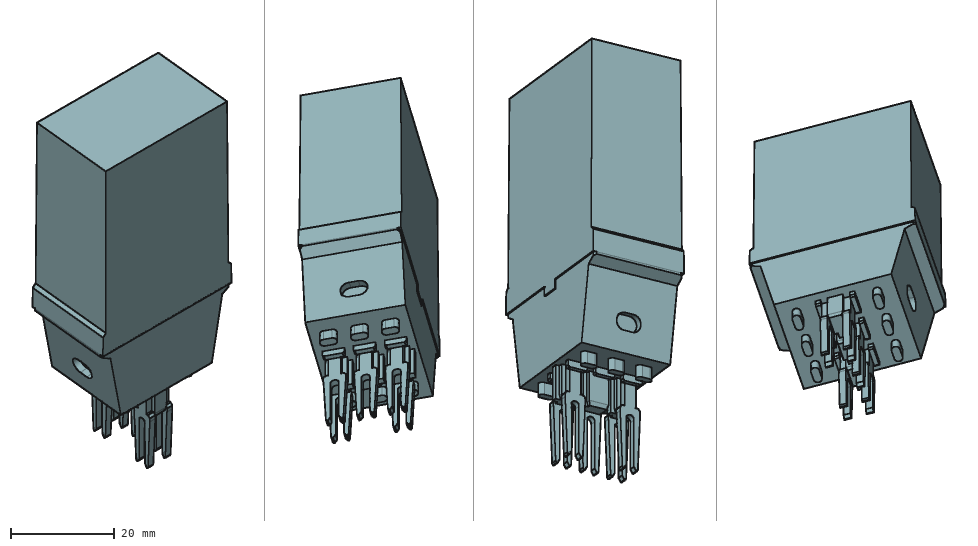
import cadquery as cq


overall_height = 83.2

cover_top_z = 63.5
rim_z = 17.55
cover_top_x = 19.9
rim_x = 20.4
cover_top_y = 31.6
cover_rim_y = 31.95

collar_side_z = 22.3
collar_top_z = 23.05
collar_side_y = 33.4
rim_y = 33.5

tab_y = 3.9
tab_bottom_z = 15.6

base_x = 19.9
lip_bottom_z = 17.05
lip_corner_chamfer = 0.5
wedge_top_z = 15.7
wedge_top_y = 29.1
wedge_bottom_y = 23.7

recess_length = 5.4
recess_height = 3.6
recess_z = 6.2
recess_depth = 1.7

column_pitch = 6.15

block_x = 4.3
block_y = 3.1
block_depth = 6.2
end_draft = 0.25
insulator_depth = 7.2
core_y = 1.25
core_overhang = 0.8

fork_thickness = 1.4
fork_neck_half = 1.25
fork_half = 2.25
fork_depth = overall_height - cover_top_z
shoulder_chamfer = 0.5
shoulder_end_depth = 7.5
tip_half = 1.75
tip_outer_bevel_x = 0.21
tip_outer_bevel_z = 0.4
tip_inner_bevel_x = 0.5
tip_inner_bevel_z = 0.8
slot_width = 1.7
slot_top_depth = 8.0

foot_x = 4.3
foot_y = 1.0
foot_depth = 1.5
foot_chamfer = 0.3
post_length = 3.4
post_width = 1.7
post_depth = 2.6
post_y = 8.15

overlap = 0.4


def frustum(bottom_size, bottom_z, top_size, top_z):
    """Rectangular loft between two centred (x, y) sizes."""
    return (
        cq.Workplane("XY", origin=(0, 0, bottom_z))
        .rect(*bottom_size)
        .workplane(offset=top_z - bottom_z)
        .rect(*top_size)
        .loft(ruled=True)
    )


def block(x_min, x_max, y_min, y_max, z_min, z_max):
    """Axis-aligned box from its limits."""
    size = (x_max - x_min, y_max - y_min, z_max - z_min)
    return cq.Workplane("XY").box(*size, centered=False).translate((x_min, y_min, z_min))


def make_cover():
    cover = frustum((rim_x, cover_rim_y), rim_z, (cover_top_x, cover_top_y), cover_top_z)
    collar_profile = [
        (-rim_y / 2, rim_z),
        (rim_y / 2, rim_z),
        (collar_side_y / 2, collar_side_z),
        (cover_rim_y / 2, collar_top_z),
        (-cover_rim_y / 2, collar_top_z),
        (-collar_side_y / 2, collar_side_z),
    ]
    collar = cq.Workplane("YZ").polyline(collar_profile).close().extrude(rim_x / 2, both=True)
    taper_envelope = frustum((rim_x, rim_y), rim_z, (cover_top_x, rim_y), cover_top_z)
    return cover.union(collar.intersect(taper_envelope))


def make_tab():
    x_slope = (rim_x - cover_top_x) / 2 / (cover_top_z - rim_z)
    outer_bottom_x = rim_x / 2 + x_slope * (rim_z - tab_bottom_z)
    profile = [(0, rim_z), (-rim_x / 2, rim_z), (-outer_bottom_x, tab_bottom_z), (0, tab_bottom_z)]
    return cq.Workplane("XZ").polyline(profile).close().extrude(tab_y / 2, both=True)


def make_base():
    profile = [
        (-wedge_bottom_y / 2, 0),
        (wedge_bottom_y / 2, 0),
        (wedge_top_y / 2, wedge_top_z),
        (rim_y / 2, lip_bottom_z),
        (rim_y / 2, rim_z),
        (-rim_y / 2, rim_z),
        (-rim_y / 2, lip_bottom_z),
        (-wedge_top_y / 2, wedge_top_z),
    ]
    base = cq.Workplane("YZ").polyline(profile).close().extrude(base_x / 2, both=True)
    corner_envelope = (
        cq.Workplane("XY")
        .rect(base_x, rim_y)
        .extrude(rim_z)
        .edges("|Z")
        .chamfer(lip_corner_chamfer)
    )
    return base.intersect(corner_envelope)


def make_recess_cutters():
    y_slope = (wedge_top_y - wedge_bottom_y) / 2 / wedge_top_z
    face_y = wedge_bottom_y / 2 + y_slope * recess_z
    cutters = cq.Workplane("XY")
    for side in (-1, 1):
        face = cq.Plane(
            origin=(0, side * face_y, recess_z),
            xDir=(1, 0, 0),
            normal=(0, side, -y_slope),
        )
        cutter = (
            cq.Workplane(face)
            .workplane(offset=-recess_depth)
            .slot2D(recess_length, recess_height)
            .extrude(2 * recess_depth)
        )
        cutters = cutters.add(cutter)
    return cutters.combine()


def make_insulator():
    body = block(-block_x / 2, block_x / 2, -block_y / 2, block_y / 2, -block_depth, overlap)
    end_size = (block_x - 2 * end_draft, block_y - 2 * end_draft)
    end = frustum(end_size, -insulator_depth, (block_x, block_y), -block_depth)
    core = block(-block_x / 2 - core_overhang, 0, -core_y / 2, core_y / 2, -insulator_depth, overlap)
    return body.union(end).union(core)


def make_fork():
    """Two-pronged terminal, centred in X, with its -Y face at Y = 0."""
    right_side = [
        (fork_neck_half, overlap),
        (fork_neck_half, -block_depth),
        (fork_half - shoulder_chamfer, -block_depth),
        (fork_half, -block_depth - shoulder_chamfer),
        (fork_half, -shoulder_end_depth),
        (tip_half, -fork_depth + tip_outer_bevel_z),
        (tip_half - tip_outer_bevel_x, -fork_depth),
        (slot_width / 2 + tip_inner_bevel_x, -fork_depth),
        (slot_width / 2, -fork_depth + tip_inner_bevel_z),
        (slot_width / 2, -slot_top_depth - slot_width / 2),
    ]
    left_side = [(-x, z) for x, z in reversed(right_side)]
    return (
        cq.Workplane("XZ")
        .polyline(right_side)
        .threePointArc((0, -slot_top_depth), left_side[0])
        .polyline(left_side, includeCurrent=False)
        .close()
        .extrude(-fork_thickness)
    )


def make_foot():
    inner_y = block_y / 2 + fork_thickness
    foot = block(-foot_x / 2, foot_x / 2, inner_y, inner_y + foot_y, -foot_depth, overlap)
    return foot.faces("<Z").edges("|Y").chamfer(foot_chamfer)


def make_post():
    return (
        cq.Workplane("XY", origin=(0, post_y, -post_depth))
        .slot2D(post_length, post_width)
        .extrude(post_depth + overlap)
    )


result = make_cover().union(make_tab()).union(make_base()).cut(make_recess_cutters())

fork = make_fork()
front_fork_y = -block_y / 2 - fork_thickness
back_fork_y = block_y / 2
for column in (-1, 0, 1):
    x = column * column_pitch
    result = result.union(make_insulator().translate((x, 0, 0)))
    result = result.union(fork.translate((x, back_fork_y, 0)))
    if column != 0:
        result = result.union(fork.translate((x, front_fork_y, 0)))
    for fitting in (make_foot(), make_post()):
        result = result.union(fitting.translate((x, 0, 0)))
        result = result.union(fitting.mirror("XZ").translate((x, 0, 0)))